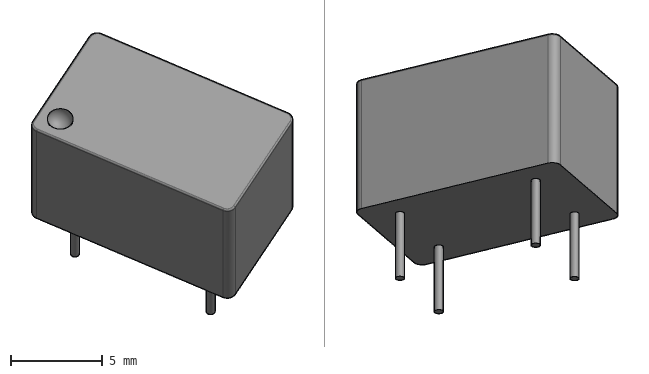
import cadquery as cq

length = 12.6
width = 7.6
total_height = 12.0

housing_height = 8.0
corner_radius = 0.5
top_edge_radius = 0.1

dimple_radius = 0.7
dimple_x = -5.01
dimple_y = -2.5

pin_diameter = 0.5
pin_length = total_height - housing_height
pin_spacing_x = 8.44
pin_spacing_y = 4.54


def make_dimple_cutter():
    """Sphere centered on the top face (housing bottom is at Z = 0)."""
    center = (dimple_x, dimple_y, housing_height)
    return cq.Workplane("XY").sphere(dimple_radius).translate(center)


def make_housing():
    """Rounded block with a softened top edge and the corner dimple."""
    block = cq.Workplane("XY").box(length, width, housing_height, centered=(True, True, False))
    block = block.edges("|Z").fillet(corner_radius)
    block = block.faces(">Z").edges().fillet(top_edge_radius)
    return block.cut(make_dimple_cutter())


def make_pin(x, y):
    """Round pin hanging down from the flat underside of the housing."""
    return cq.Workplane("XY").center(x, y).circle(pin_diameter / 2).extrude(-pin_length)


housing = make_housing()
pins = []
for side_x in (-1, 1):
    for side_y in (-1, 1):
        pin = make_pin(side_x * pin_spacing_x / 2, side_y * pin_spacing_y / 2)
        pins.append(pin.val())

result = cq.Compound.makeCompound([housing.val(), *pins])